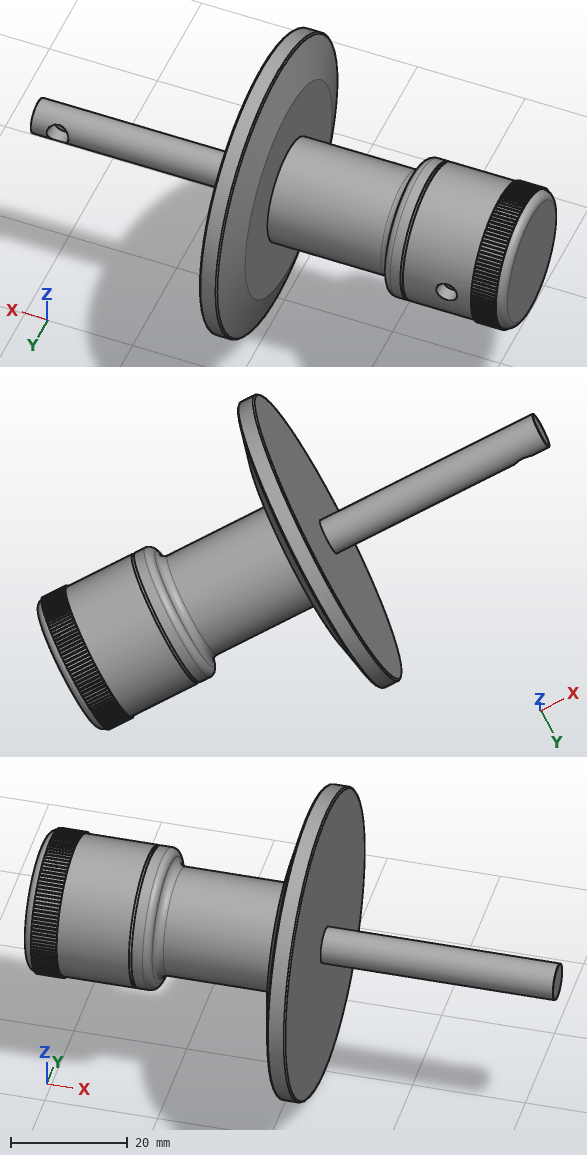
import cadquery as cq
import math


total_length = 91.6
knurl_start = 1.5
knurl_end = 6.05
body_groove_start = 18.8
body_groove_width = 0.5
head_end = 22.5
flange_start = 45.1
flange_cone_end = 47.1
flange_end = 50.4

knurl_radius = 12.7
body_radius = 12.5
neck_radius = 9.5
flange_radius = 27.5
flange_face_radius = 19.7
rod_radius = 3.2

shoulder_rounding = 1.4
neck_fillet = body_radius - shoulder_rounding - neck_radius
face_rounding = knurl_start
flange_chamfer = 0.3
rod_chamfer = 0.1
groove_depth = 0.2

tooth_count = 115
tooth_gap_width = 0.2
tooth_gap_height = 2 * (knurl_radius - body_radius)

body_hole_x = 10.6
body_hole_radius = 1.9
body_hole_depth = 2.75
rod_hole_x = 86.6
rod_hole_radius = 2.0
rod_hole_depth = rod_radius


def quarter_arc_middle(center_x, center_r, radius, sign_x, sign_r):
    """Point halfway along a quarter circle, in the chosen diagonal direction."""
    reach = radius * math.sqrt(0.5)
    return center_x + sign_x * reach, center_r + sign_r * reach


def turned_body():
    """Knob, neck, flange and rod as one turned profile."""
    shoulder_radius = body_radius - shoulder_rounding
    profile = (
        cq.Workplane("XY")
        .moveTo(0, 0)
        .lineTo(0, body_radius - face_rounding)
        .threePointArc(
            quarter_arc_middle(face_rounding, body_radius - face_rounding, face_rounding, -1, 1),
            (face_rounding, body_radius),
        )
        .lineTo(knurl_start, knurl_radius)
        .lineTo(knurl_end, knurl_radius)
        .lineTo(knurl_end, body_radius)
        .lineTo(head_end - shoulder_rounding, body_radius)
        .threePointArc(
            quarter_arc_middle(head_end - shoulder_rounding, shoulder_radius, shoulder_rounding, 1, 1),
            (head_end, shoulder_radius),
        )
        .threePointArc(
            quarter_arc_middle(head_end + neck_fillet, shoulder_radius, neck_fillet, -1, -1),
            (head_end + neck_fillet, neck_radius),
        )
        .lineTo(flange_start, neck_radius)
        .lineTo(flange_start, flange_face_radius)
        .lineTo(flange_cone_end, flange_radius - flange_chamfer)
        .lineTo(flange_cone_end + flange_chamfer, flange_radius)
        .lineTo(flange_end - flange_chamfer, flange_radius)
        .lineTo(flange_end, flange_radius - flange_chamfer)
        .lineTo(flange_end, rod_radius)
        .lineTo(total_length - rod_chamfer, rod_radius)
        .lineTo(total_length, rod_radius - rod_chamfer)
        .lineTo(total_length, 0)
        .close()
    )
    return profile.revolve(360, (0, 0, 0), (1, 0, 0))


def body_groove():
    """Shallow square groove around the knob near its shoulder."""
    return (
        cq.Workplane("YZ", origin=(body_groove_start, 0, 0))
        .circle(knurl_radius)
        .circle(body_radius - groove_depth)
        .extrude(body_groove_width)
    )


def tooth_gaps():
    """Straight gaps between the knurl teeth, cut down to the body surface."""
    gap_center_radius = body_radius + tooth_gap_height / 2
    return (
        cq.Workplane("YZ", origin=(knurl_start, 0, 0))
        .polarArray(gap_center_radius, 0, 360, tooth_count)
        .rect(tooth_gap_height, tooth_gap_width)
        .extrude(knurl_end - knurl_start)
    )


def side_hole(x, radius, surface_radius, depth):
    """Blind round hole running from the +Y side toward the axis."""
    return (
        cq.Workplane("XZ", origin=(x, surface_radius, 0))
        .circle(radius)
        .extrude(depth)
    )


result = (
    turned_body()
    .cut(tooth_gaps())
    .cut(body_groove())
    .cut(side_hole(body_hole_x, body_hole_radius, body_radius, body_hole_depth))
    .cut(side_hole(rod_hole_x, rod_hole_radius, rod_radius, rod_hole_depth))
)